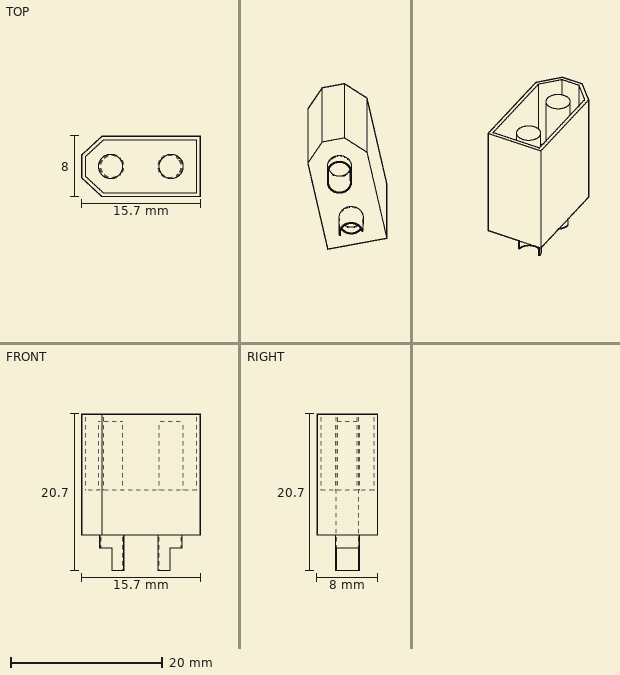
import cadquery as cq


shell_length = 15.7
shell_width = 8.0
shell_height = 16.0
wall = 0.5
key_length = 2.7
key_end_width = 3.0
socket_depth = 10.0

pin_diameter = 3.2
pin_spacing = 8.0
pin_recess = 1.0
pin_x = pin_spacing / 2

cup_diameter = pin_diameter
cup_bore = 2.9
cup_length = 4.7
cup_collar = 1.7
cup_spacing = 7.7
cup_x = cup_spacing / 2

shell_left = -shell_length / 2


def shell_outline(z):
    """Closed shell outline at height z, with the keyed end towards -X."""
    right = shell_left + shell_length
    shoulder = shell_left + key_length
    half_width = shell_width / 2
    key_half_width = key_end_width / 2
    return (
        cq.Workplane("XY", origin=(0, 0, z))
        .moveTo(right, -half_width)
        .lineTo(right, half_width)
        .lineTo(shoulder, half_width)
        .lineTo(shell_left, key_half_width)
        .lineTo(shell_left, -key_half_width)
        .lineTo(shoulder, -half_width)
        .close()
    )


def make_shell():
    """Keyed block with a socket that leaves an even wall all round."""
    floor = shell_height - socket_depth
    socket = shell_outline(floor).offset2D(-wall).extrude(socket_depth)
    return shell_outline(0).extrude(shell_height).cut(socket)


def make_pin(x):
    """Solid pin standing on the socket floor, just below the rim."""
    floor = shell_height - socket_depth
    pin_height = socket_depth - pin_recess
    return cq.Workplane("XY", origin=(x, 0, floor)).circle(pin_diameter / 2).extrude(pin_height)


def make_cup(side):
    """Tube below the shell, side -1 or +1 in X; its outward half is cut away below a short collar."""
    tube = (
        cq.Workplane("XY", origin=(side * cup_x, 0, 0))
        .circle(cup_diameter / 2)
        .circle(cup_bore / 2)
        .extrude(-cup_length)
    )
    opening = (
        cq.Workplane("XY", origin=(side * (cup_x + cup_diameter / 2), 0, -cup_collar))
        .rect(cup_diameter, cup_diameter)
        .extrude(cup_collar - cup_length)
    )
    return tube.cut(opening)


result = make_shell()
for side in (-1, 1):
    result = result.union(make_pin(side * pin_x))
    result = result.union(make_cup(side))